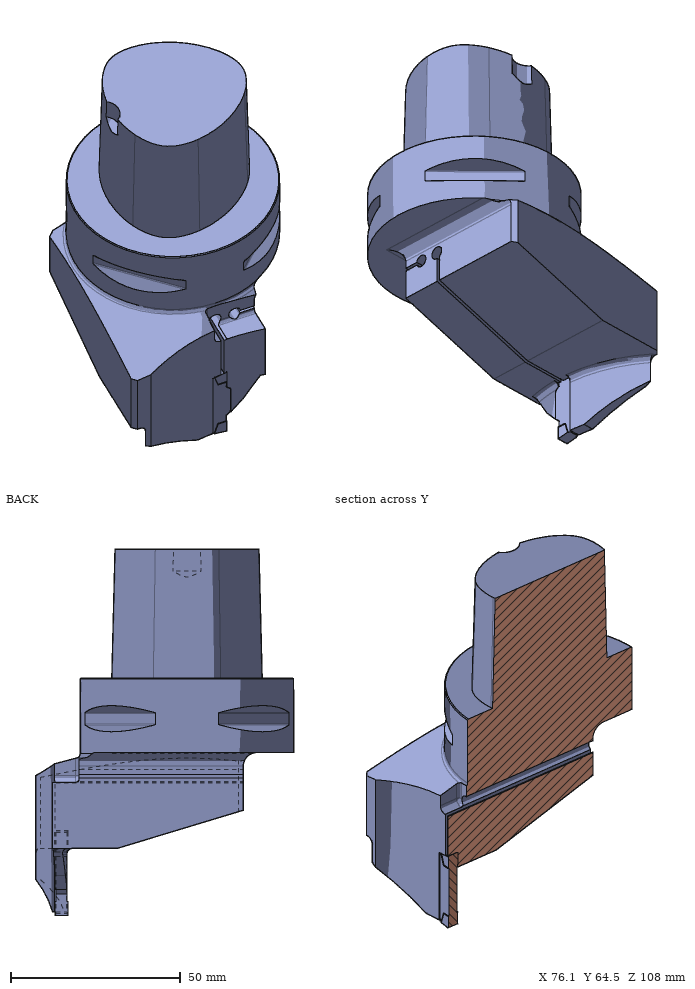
import cadquery as cq
import math


shank_height = 38.0
shank_diameter = 44.4
shank_taper = 1 / 20
lobe_eccentricity = 1.4
lobe_count = 3
lobe_direction = math.pi / 2
lobe_half_angle = math.radians(37.0)
spline_steps = 8
notch_radius = 5.0
notch_axis_y = -22.6
notch_floor_z = 31.5
drill_point_angle = 110.0

flange_radius = 63 / 2
flange_height = 22.0
flange_chamfer = 0.3
gripper_flat_radius = 27.85
gripper_flat_width = 3.5
gripper_corner_radius = 0.4
gripper_z = -12.0
gripper_side_angle = 30.0
gripper_count = 4

head_left = -16.6
head_right = 76.13 - flange_radius
head_front = flange_radius - 64.5
head_back = 12.0
head_left_bottom = -39.0
head_bottom = -50.2
head_flat_start_x = 20.4
head_corner_chamfer = 1.4
head_root_radius = 4.0
shoulder_angle = 15.0
shoulder_start_z = -23.2
shoulder_fillet = 1.2

blade_bottom = -68.9
outer_curve_radius = 72.0
outer_curve_x = 38.85
outer_curve_y = 1.0
inner_curve_radius = 46.0
inner_curve_x = 35.35
inner_curve_y = -1.5
blade_front = -29.0
blade_front_bottom = -58.4
blade_flat_front_y = -9.85
blade_root_radius = 1.8
finger_back_y = 10.5
finger_bend_y = 5.2
finger_bend_z = -58.2

insert_tip_z = 38.0 - 108.0
insert_center_z = -57.45
insert_rake_y = -0.1
insert_crown_y = 1.25
insert_base_y = -4.7
insert_relief = 0.6
insert_crown_half = 4.9
insert_ramp_half = 6.15
insert_body_left = inner_curve_x
insert_body_right = 38.6
insert_edge_left = 35.05
insert_edge_right = outer_curve_x
cutting_head_length = 4.2
cutting_head_top_depth = 2.8
cutting_head_tip_depth = 4.1

slit_width = 1.0
slit_z = -28.95
back_slit_hole_diameter = 3.8
back_slit_hole_z = -28.8
insert_slit_hole_diameter = 4.0
insert_slit_hole_z = -28.9
back_slit_hole_y = 5.6
insert_slit_hole_y = -0.8
insert_slit_y = -1.45
pocket_wall_x = 31.8
pocket_wall_y = -4.1
pocket_floor_z = -30.75
pocket_wall_radius_x = 1.0
pocket_wall_radius_y = 2.0

far = 100.0


def lobed_section(diameter, z):
    """Closed wire of the three-lobed polygon at height z, split where lobes meet flanks."""
    def point(normal):
        lobe_angle = lobe_count * (normal - lobe_direction)
        reach = diameter / 2 + lobe_eccentricity * math.cos(lobe_angle)
        slide = -lobe_count * lobe_eccentricity * math.sin(lobe_angle)
        x = reach * math.cos(normal) - slide * math.sin(normal)
        y = reach * math.sin(normal) + slide * math.cos(normal)
        return cq.Vector(x, y, z)

    def stretch(start, end):
        angles = [start + (end - start) * i / spline_steps for i in range(spline_steps + 1)]
        tangents = [cq.Vector(-math.sin(a), math.cos(a), 0) for a in (start, end)]
        return cq.Edge.makeSpline([point(a) for a in angles], tangents=tangents)

    pitch = 2 * math.pi / lobe_count
    edges = []
    for i in range(lobe_count):
        lobe = lobe_direction + i * pitch
        edges.append(stretch(lobe - lobe_half_angle, lobe + lobe_half_angle))
        edges.append(stretch(lobe + lobe_half_angle, lobe + pitch - lobe_half_angle))
    return cq.Wire.assembleEdges(edges)


def make_shank():
    top_diameter = shank_diameter - shank_taper * shank_height
    sections = [lobed_section(shank_diameter, 0), lobed_section(top_diameter, shank_height)]
    shank = cq.Workplane(obj=cq.Solid.makeLoft(sections, True))
    point_depth = notch_radius / math.tan(math.radians(drill_point_angle / 2))
    notch = (
        cq.Workplane("XZ")
        .moveTo(0, shank_height)
        .lineTo(notch_radius, shank_height)
        .lineTo(notch_radius, notch_floor_z)
        .lineTo(0, notch_floor_z - point_depth)
        .close()
        .revolve(360, (0, 0, 0), (0, 1, 0))
        .translate((0, notch_axis_y, 0))
    )
    return shank.cut(notch)


def make_flange():
    flange = cq.Workplane("XY").circle(flange_radius).extrude(-flange_height)
    flange = flange.faces(">Z").edges().chamfer(flange_chamfer)
    depth = flange_radius - gripper_flat_radius
    flat_half = gripper_flat_width / 2
    mouth_half = flat_half + depth * math.tan(math.radians(gripper_side_angle))
    groove = (
        cq.Workplane("XZ")
        .polyline([
            (gripper_flat_radius, gripper_z - flat_half),
            (flange_radius, gripper_z - mouth_half),
            (flange_radius, gripper_z + mouth_half),
            (gripper_flat_radius, gripper_z + flat_half),
        ])
        .close()
        .extrude(flange_radius, both=True)
        .edges("<X").fillet(gripper_corner_radius)
    )
    for i in range(gripper_count):
        angle = (i + 0.5) * 360 / gripper_count
        flange = flange.cut(groove.rotate((0, 0, 0), (0, 0, 1), angle))
    return flange


def outer_side(workplane, start_x):
    """Right-hand outline along the outer curve from the front to the back, ending at start_x."""
    center_x = outer_curve_x + outer_curve_radius

    def on_curve(y):
        return center_x - math.sqrt(outer_curve_radius**2 - (y - outer_curve_y)**2)

    curve_end_y = outer_curve_y - math.sqrt(outer_curve_radius**2 - (center_x - head_right)**2)
    return (
        workplane
        .lineTo(head_right, curve_end_y)
        .threePointArc((outer_curve_x, outer_curve_y), (on_curve(head_back), head_back))
        .lineTo(start_x, head_back)
    )


def shoulder_envelope():
    """Flange cylinder blending through a fillet into the conical shoulder."""
    slope = math.tan(math.radians(shoulder_angle))
    tangent = shoulder_fillet * math.tan(math.radians((90 - shoulder_angle) / 2))
    fillet_x = flange_radius + shoulder_fillet
    fillet_z = shoulder_start_z + tangent
    mid_angle = math.radians(180 + (90 - shoulder_angle) / 2)
    end_angle = math.radians(270 - shoulder_angle)

    def on_fillet(angle):
        return (fillet_x + shoulder_fillet * math.cos(angle), fillet_z + shoulder_fillet * math.sin(angle))

    return (
        cq.Workplane("XZ")
        .moveTo(0, -flange_height)
        .lineTo(flange_radius, -flange_height)
        .lineTo(flange_radius, fillet_z)
        .threePointArc(on_fillet(mid_angle), on_fillet(end_angle))
        .lineTo(far, shoulder_start_z - (far - flange_radius) * slope)
        .lineTo(far, -far)
        .lineTo(0, -far)
        .close()
        .revolve(360, (0, 0, 0), (0, 1, 0))
    )


def make_head():
    flared_left = head_left - head_root_radius
    flared_back = head_back + head_root_radius
    arc_in = head_root_radius * (1 - math.sqrt(0.5))
    arc_start_z = -flange_height - head_root_radius

    long_profile = (
        cq.Workplane("XZ")
        .moveTo(head_right, -flange_height)
        .lineTo(flared_left, -flange_height)
        .threePointArc((head_left - arc_in, -flange_height - arc_in), (head_left, arc_start_z))
        .lineTo(head_left, head_left_bottom)
        .lineTo(head_flat_start_x, head_bottom)
        .lineTo(head_right, head_bottom)
        .close()
        .extrude(far, both=True)
    )
    cross_profile = (
        cq.Workplane("YZ")
        .moveTo(head_front, -flange_height)
        .lineTo(flared_back, -flange_height)
        .threePointArc((head_back + arc_in, -flange_height - arc_in), (head_back, arc_start_z))
        .lineTo(head_back, -far)
        .lineTo(head_front, -far)
        .close()
        .extrude(far, both=True)
    )
    plan = (
        cq.Workplane("XY")
        .moveTo(flared_left, head_front + head_corner_chamfer + head_root_radius)
        .lineTo(head_left + head_corner_chamfer, head_front)
        .lineTo(head_right - head_corner_chamfer, head_front)
        .lineTo(head_right, head_front + head_corner_chamfer)
    )
    plan = outer_side(plan, pocket_wall_x)
    plan = (
        plan
        .lineTo(pocket_wall_x, flared_back)
        .lineTo(flared_left, flared_back)
        .close()
        .extrude(-far)
    )
    return long_profile.intersect(cross_profile).intersect(plan).intersect(shoulder_envelope())


def make_blade():
    center_x = inner_curve_x + inner_curve_radius

    def on_inner(y):
        return center_x - math.sqrt(inner_curve_radius**2 - (y - inner_curve_y)**2)

    plan = cq.Workplane("XY").workplane(offset=blade_bottom).moveTo(on_inner(blade_front), blade_front)
    plan = plan.lineTo(head_right, blade_front)
    crescent = (
        outer_side(plan, on_inner(head_back))
        .threePointArc((inner_curve_x, inner_curve_y), (on_inner(blade_front), blade_front))
        .close()
        .extrude(head_bottom - blade_bottom)
    )
    outline = (
        cq.Workplane("YZ")
        .polyline([
            (finger_back_y, head_bottom),
            (finger_bend_y, finger_bend_z),
            (insert_crown_y, insert_center_z - insert_crown_half),
            (insert_base_y, insert_center_z - insert_crown_half),
            (insert_base_y, blade_bottom),
            (blade_flat_front_y, blade_bottom),
            (blade_front, blade_front_bottom),
            (blade_front, head_bottom),
        ])
        .close()
        .extrude(far)
    )
    return crescent.intersect(outline)


def insert_outline(left, right):
    """Side profile of the insert, extruded from left to right along X."""
    half = insert_center_z - insert_tip_z
    base_half = half - insert_relief
    upper = [
        (insert_crown_y, insert_crown_half),
        (insert_rake_y, insert_ramp_half),
        (insert_rake_y, half),
        (insert_base_y, base_half),
    ]
    points = [(y, insert_center_z + h) for y, h in upper]
    points += [(y, insert_center_z - h) for y, h in reversed(upper)]
    return cq.Workplane("YZ").workplane(offset=left).polyline(points).close().extrude(right - left)


def make_insert():
    insert = insert_outline(insert_body_left, insert_body_right)
    wide_outline = insert_outline(insert_edge_left, insert_edge_right)
    half = insert_center_z - insert_tip_z
    for side in (-1, 1):
        tip_z = insert_center_z + side * half
        inner_z = tip_z - side * cutting_head_length
        head_zone = (
            cq.Workplane("YZ")
            .polyline([
                (insert_rake_y, tip_z),
                (insert_rake_y, inner_z),
                (insert_rake_y - cutting_head_top_depth, inner_z),
                (insert_rake_y - cutting_head_tip_depth, tip_z),
            ])
            .close()
            .extrude(far)
        )
        insert = insert.union(wide_outline.intersect(head_zone))
    return insert


def slit_hole(y, z, diameter):
    return cq.Workplane("YZ").center(y, z).circle(diameter / 2).extrude(far, both=True)


def clamping_slits():
    back_hole = slit_hole(back_slit_hole_y, back_slit_hole_z, back_slit_hole_diameter)
    insert_hole = slit_hole(insert_slit_hole_y, insert_slit_hole_z, insert_slit_hole_diameter)
    back_length = flange_radius - back_slit_hole_y
    back_slit = (
        cq.Workplane("YZ")
        .center(back_slit_hole_y + back_length / 2, slit_z)
        .rect(back_length, slit_width)
        .extrude(far, both=True)
    )
    insert_slit_length = insert_slit_hole_z - insert_center_z
    insert_slit = (
        cq.Workplane("YZ")
        .center(insert_slit_y, insert_slit_hole_z - insert_slit_length / 2)
        .rect(slit_width, insert_slit_length)
        .extrude(far, both=True)
    )
    return back_hole.union(insert_hole).union(back_slit).union(insert_slit)


def relief_pocket():
    """Pocket beside the flange that clears the top of the clamping finger."""
    return (
        cq.Workplane("XY")
        .box(far, far, far, centered=False)
        .edges("|X and <Y and <Z").fillet(pocket_wall_radius_y)
        .edges("|Y and <X and <Z").fillet(pocket_wall_radius_x)
        .translate((pocket_wall_x, pocket_wall_y, pocket_floor_z))
    )


def insert_seat(insert):
    """Space for the insert, open to the right and through the fillet at the blade root."""
    seat = insert_outline(insert_body_left, far)
    root = insert_outline(insert_body_left - 2 * blade_root_radius, insert_body_left)
    below_head = cq.Workplane("XY").box(2 * far, 2 * far, far, centered=(True, True, False))
    below_head = below_head.translate((0, 0, head_bottom - far))
    return seat.union(root.intersect(below_head)).union(insert)


def make_holder(insert):
    lower = make_head().union(make_blade())
    margin = 0.05
    root_box = cq.selectors.BoxSelector(
        (inner_curve_x, blade_front - margin, head_bottom - margin),
        (head_right - margin, finger_back_y - margin, head_bottom + margin),
    )
    lower = lower.edges(root_box).fillet(blade_root_radius)
    lower = lower.cut(relief_pocket())
    lower = lower.cut(clamping_slits())
    lower = lower.cut(insert_seat(insert))
    return make_flange().union(make_shank()).union(lower)


insert = make_insert()
holder = make_holder(insert)
result = cq.Compound.makeCompound([holder.val(), insert.val()])